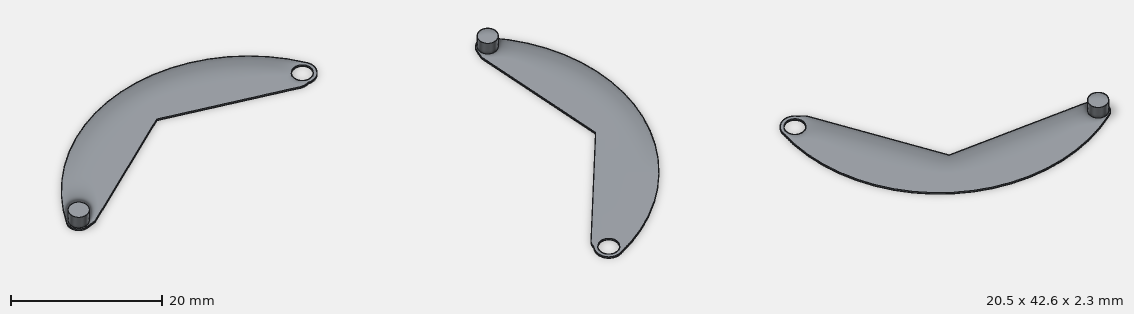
import cadquery as cq
import math

plate_thickness = 0.3
pin_height = 2.0

hole_center = (0, 0)
hole_diameter = 2.9
hole_end_radius = 1.95

pin_center = (9.75, -39.0)
pin_diameter = 2.8
pin_end_radius = 1.6

outer_center = (15.55, -16.6)
outer_radius = 24.7

elbow = (-1.7, -21.0)
hole_side_end = (2.1, -1.75)
pin_side_end = (10.85, -37.1)

eased_corner_middle = (2.15, -1.02)
eased_corner_angle = -5

pin_flat_angle = 20


def point_on_circle(center, radius, angle):
    """Point on a circle at an angle in degrees from +X."""
    turn = math.radians(angle)
    return (center[0] + radius * math.cos(turn), center[1] + radius * math.sin(turn))


def outward_angle(center):
    """Direction from the outer arc centre to an end centre, in degrees."""
    return math.degrees(math.atan2(center[1] - outer_center[1], center[0] - outer_center[0]))


def end_cap(center, radius, start_angle, end_angle):
    """Start, middle and end points of a rounded end."""
    angles = (start_angle, (start_angle + end_angle) / 2, end_angle)
    return [point_on_circle(center, radius, angle) for angle in angles]


def make_plate():
    hole_cap = end_cap(hole_center, hole_end_radius, outward_angle(hole_center), eased_corner_angle)
    pin_cap = end_cap(pin_center, pin_end_radius, pin_flat_angle, outward_angle(pin_center))
    outer_middle = point_on_circle(outer_center, outer_radius, 180)
    return (
        cq.Workplane("XY")
        .moveTo(*hole_cap[0])
        .threePointArc(hole_cap[1], hole_cap[2])
        .threePointArc(eased_corner_middle, hole_side_end)
        .lineTo(*elbow)
        .lineTo(*pin_side_end)
        .lineTo(*pin_cap[0])
        .threePointArc(pin_cap[1], pin_cap[2])
        .threePointArc(outer_middle, hole_cap[0])
        .close()
        .extrude(plate_thickness)
    )


def make_disc(center, diameter, height):
    return cq.Workplane("XY").center(*center).circle(diameter / 2).extrude(height)


hole = make_disc(hole_center, hole_diameter, plate_thickness)
pin = make_disc(pin_center, pin_diameter, plate_thickness + pin_height)
result = make_plate().cut(hole).union(pin)